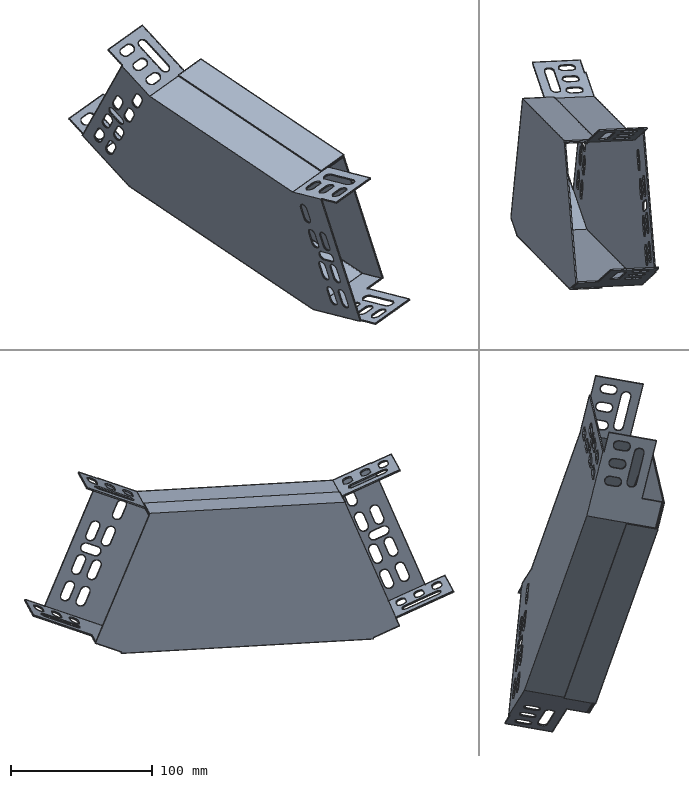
import cadquery as cq
import math

SHEET = 1.0
OVERALL_LENGTH = 301.7
DEPTH = 52.0
TRAY_WIDTH = 101.5
LEG_ANGLE = 22.5
TAB_REACH = 45.2
TAB_OVERHANG = 15.5
TAB_DEPTH = 35.5
WALL_GAP = 0.75
LIP_DEPTH = 23.0

SLOT_WIDTH = 7.0
BASE_SLOT_LENGTH = 15.0
BASE_ROW_OUTER = 11.2
BASE_ROW_INNER = 23.2
BASE_CROSS_ROW = 15.0
BASE_NEAR_OFFSET = 13.3
BASE_FAR_OFFSET = 34.0
TAB_LONG_SLOT_LENGTH = 30.2
TAB_LONG_SLOT_Y = 25.5
TAB_SHORT_SLOT_LENGTH = 12.0
TAB_SHORT_SLOT_Y = 12.5
TAB_LONG_SLOT_INSET = 23.0
TAB_SHORT_SLOT_INSET = 22.3
TAB_SHORT_SLOT_PITCH = 14.0

COS_LEG = math.cos(math.radians(LEG_ANGLE))
SIN_LEG = math.sin(math.radians(LEG_ANGLE))
MITRE = math.tan(math.radians(LEG_ANGLE / 2))
PLATE_REACH = TAB_REACH - TAB_OVERHANG
COVER_REACH = 0.0
LOWER_TAB_REACH = TAB_REACH + TRAY_WIDTH * MITRE
LOWER_BEND_X = OVERALL_LENGTH / 2 - LOWER_TAB_REACH * COS_LEG
TRAY_FLOOR_Z = SHEET
COVER_PLATE_Y = DEPTH - SHEET
WALL_DEPTH = COVER_PLATE_Y - WALL_GAP


def bend_point(level):
    """Right-hand bend point at a height above the outer face of the lower wall."""
    return (LOWER_BEND_X - level * MITRE, TRAY_FLOOR_Z + level)


def leg_point(level, reach):
    """Right-hand point on the square leg end that lies `reach` beyond the upper bend."""
    bend_x, bend_z = bend_point(level)
    length = reach + (TRAY_WIDTH - level) * MITRE
    return (bend_x + length * COS_LEG, bend_z + length * SIN_LEG)


def band(low, high, reach, y_start, y_end):
    """Bent strip between two levels, symmetric about X = 0, extruded along Y."""
    right = [bend_point(low), leg_point(low, reach), leg_point(high, reach)]
    if reach > 0 or high < TRAY_WIDTH:
        right.append(bend_point(high))
    left = [(-x, z) for x, z in reversed(right)]
    profile = cq.Workplane("XZ", origin=(0, y_start, 0)).polyline(right + left).close()
    return profile.extrude(y_start - y_end)


def leg_plane(level, reach, normal):
    """Plane on the right-hand leg end, with its local X pointing outward along the leg."""
    x, z = leg_point(level, reach)
    return cq.Plane(origin=(x, 0, z), xDir=(COS_LEG, 0, SIN_LEG), normal=normal)


def mirrored_pair(cutter):
    """The right-hand cutter together with its left-hand copy."""
    return cutter.union(cutter.mirror("YZ"))


def base_slots():
    """Slots through the base plate, in rows across each leg."""
    plane = leg_plane(TRAY_WIDTH / 2, PLATE_REACH, (0, -1, 0))
    inner_offsets = (-BASE_FAR_OFFSET, -BASE_NEAR_OFFSET, BASE_NEAR_OFFSET, BASE_FAR_OFFSET)
    outer_offsets = inner_offsets[:3]
    centres = [(-BASE_ROW_INNER, offset) for offset in inner_offsets]
    centres += [(-BASE_ROW_OUTER, offset) for offset in outer_offsets]
    along_row = cq.Workplane(plane).pushPoints(centres).slot2D(BASE_SLOT_LENGTH, SLOT_WIDTH, 90)
    cross = cq.Workplane(plane).center(-BASE_CROSS_ROW, 0).slot2D(BASE_SLOT_LENGTH, SLOT_WIDTH)
    cutter = along_row.extrude(SHEET, both=True).union(cross.extrude(SHEET, both=True))
    return mirrored_pair(cutter)


def tab_slots(level):
    """One long and three short slots through the tab whose mid-thickness is at `level`."""
    plane = leg_plane(level, TAB_REACH, (-SIN_LEG, 0, COS_LEG))
    inset, pitch = TAB_SHORT_SLOT_INSET, TAB_SHORT_SLOT_PITCH
    centres = [(-inset + step * pitch, TAB_SHORT_SLOT_Y) for step in (-1, 0, 1)]
    short = cq.Workplane(plane).pushPoints(centres).slot2D(TAB_SHORT_SLOT_LENGTH, SLOT_WIDTH, 90)
    long = cq.Workplane(plane).center(-TAB_LONG_SLOT_INSET, TAB_LONG_SLOT_Y)
    long = long.slot2D(TAB_LONG_SLOT_LENGTH, SLOT_WIDTH)
    cutter = short.extrude(SHEET, both=True).union(long.extrude(SHEET, both=True))
    return mirrored_pair(cutter)


def make_tray():
    """Base plate and two side walls; the walls drop to tab depth beyond the cover."""
    tray = band(0, TRAY_WIDTH, PLATE_REACH, 0, SHEET)
    for low in (0, TRAY_WIDTH - SHEET):
        high = low + SHEET
        tray = tray.union(band(low, high, COVER_REACH, SHEET, WALL_DEPTH))
        tray = tray.union(band(low, high, TAB_REACH, SHEET, TAB_DEPTH))
        tray = tray.cut(tab_slots((low + high) / 2))
    return tray.cut(base_slots())


def make_cover():
    """Cover plate with a lip over the straight part of each side wall."""
    cover = band(0, TRAY_WIDTH, COVER_REACH, COVER_PLATE_Y, DEPTH)
    for wall_level, lip_shift in ((0, -SHEET), (TRAY_WIDTH, 0)):
        half_length, wall_z = bend_point(wall_level)
        lip = cq.Workplane("XY").box(2 * half_length, LIP_DEPTH, SHEET, centered=(True, False, False))
        cover = cover.union(lip.translate((0, DEPTH - LIP_DEPTH, wall_z + lip_shift)))
    return cover


tray = make_tray()
cover = make_cover()
result = cq.Compound.makeCompound([tray.val(), cover.val()])